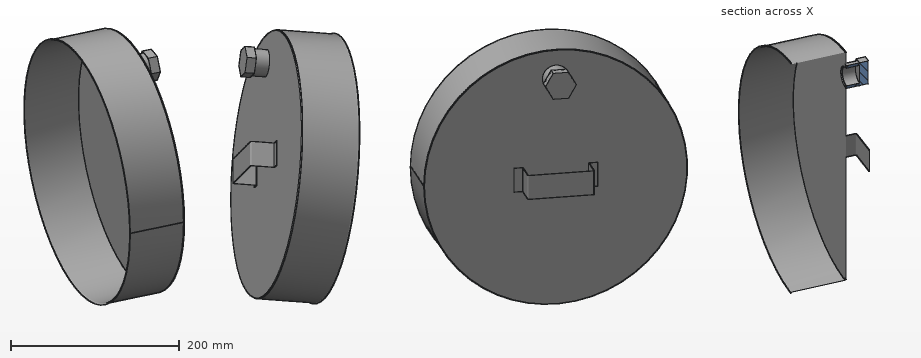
import cadquery as cq
import math

SHEET = 1.0
OVERALL_DEPTH = 101.5
PAN_DEPTH = 71.5

WALL_DIAMETER = 320.3
WALL_BORE = WALL_DIAMETER - 2 * SHEET
RIM_DIAMETER = 322.2
JOINT_GAP = 0.1
FLARE_RADIUS = (RIM_DIAMETER - WALL_DIAMETER) / 2

PLATE_DIAMETER = 318.5
PLATE_THICKNESS = 1.5
WALL_DEPTH = PAN_DEPTH - PLATE_THICKNESS

DRAIN_Z = 124.5
DRAIN_DIAMETER = 27.0
PIPE_DIAMETER = 32.5
PIPE_BORE = 24.2
CAP_BACK = 100.0
CAP_THICKNESS = 11.5
CAP_FRONT = CAP_BACK - CAP_THICKNESS
CAP_ACROSS_FLATS = PIPE_DIAMETER

BRACKET_WIDTH = 81.2
BRACKET_FOOT_SPAN = 101.5
BRACKET_HEIGHT = 30.0
INNER_BEND_RADIUS = 1.0
OUTER_BEND_RADIUS = INNER_BEND_RADIUS + SHEET


def cylinder(diameter, start, end, z=0.0):
    """Cylinder along Y between two Y positions, centred at height z."""
    return cq.Workplane("XZ", origin=(0, start, z)).circle(diameter / 2).extrude(start - end)


def make_wall():
    bore_radius = WALL_BORE / 2
    wall_radius = WALL_DIAMETER / 2
    rim_radius = RIM_DIAMETER / 2
    flare_depth = SHEET + FLARE_RADIUS
    diagonal = math.sqrt(0.5)
    inner_middle = (rim_radius - flare_depth * diagonal, flare_depth - flare_depth * diagonal)
    outer_middle = (rim_radius - FLARE_RADIUS * diagonal, flare_depth - FLARE_RADIUS * diagonal)
    profile = (
        cq.Workplane("XY")
        .moveTo(bore_radius, WALL_DEPTH)
        .lineTo(bore_radius, flare_depth)
        .threePointArc(inner_middle, (rim_radius, 0))
        .lineTo(rim_radius, SHEET)
        .threePointArc(outer_middle, (wall_radius, flare_depth))
        .lineTo(wall_radius, WALL_DEPTH)
        .close()
    )
    ring = profile.revolve(360, (0, 0, 0), (0, 1, 0))
    joint = cq.Workplane("XY").box(RIM_DIAMETER, PAN_DEPTH, JOINT_GAP, centered=(False, False, True))
    return ring.cut(joint)


def make_back_plate():
    plate = cylinder(PLATE_DIAMETER, WALL_DEPTH, PAN_DEPTH)
    drain = cylinder(DRAIN_DIAMETER, WALL_DEPTH, PAN_DEPTH, DRAIN_Z)
    return plate.cut(drain)


def make_pipe():
    outside = cylinder(PIPE_DIAMETER, PAN_DEPTH, CAP_FRONT, DRAIN_Z)
    return outside.cut(cylinder(PIPE_BORE, PAN_DEPTH, CAP_FRONT, DRAIN_Z))


def make_cap():
    across_corners = CAP_ACROSS_FLATS / math.cos(math.pi / 6)
    plane = cq.Workplane("XZ", origin=(0, CAP_FRONT, DRAIN_Z))
    return plane.polygon(6, across_corners).extrude(-CAP_THICKNESS)


def bracket_block(width, start, end):
    """Block centred on X and Z, as high as the bracket, between two Y positions."""
    return cq.Workplane("XY").box(width, end - start, BRACKET_HEIGHT).translate((0, (start + end) / 2, 0))


def make_bracket():
    outside = bracket_block(BRACKET_WIDTH, PAN_DEPTH, OVERALL_DEPTH)
    outside = outside.edges("|Z and >Y").fillet(OUTER_BEND_RADIUS)
    inside = bracket_block(BRACKET_WIDTH - 2 * SHEET, PAN_DEPTH, OVERALL_DEPTH - SHEET)
    inside = inside.edges("|Z and >Y").fillet(INNER_BEND_RADIUS)
    feet = bracket_block(BRACKET_FOOT_SPAN, PAN_DEPTH, PAN_DEPTH + SHEET)
    return outside.union(feet).cut(inside)


wall = make_wall()
back_plate = make_back_plate()
pipe = make_pipe()
cap = make_cap()
bracket = make_bracket()

result = cq.Compound.makeCompound([wall.val(), back_plate.val(), pipe.val(), cap.val(), bracket.val()])